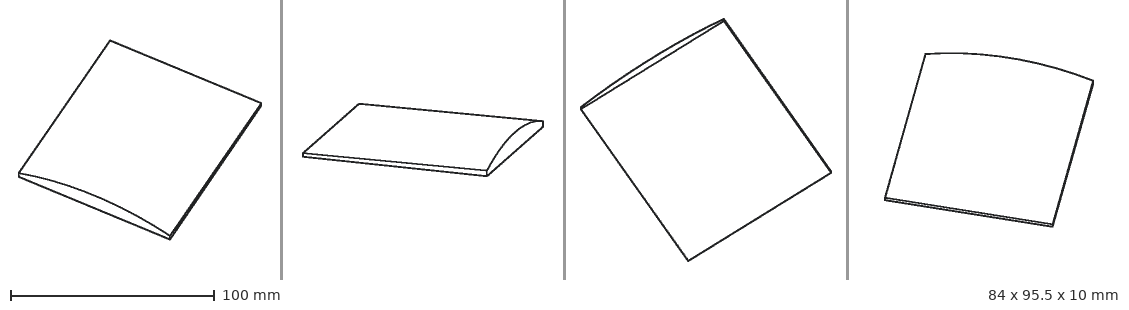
import cadquery as cq

width = 84.0
length = 95.5

front_edge_height = 3.0
front_crown_height = 10.0
back_height = 1.9

half_width = width / 2


def profile_base(y, edge_height):
    """Upright outline at y, drawn around the base up to the top of its +X side."""
    return (
        cq.Workplane("XZ", origin=(0, y, 0))
        .moveTo(-half_width, edge_height)
        .lineTo(-half_width, 0)
        .lineTo(half_width, 0)
        .lineTo(half_width, edge_height)
    )


front_profile = (
    profile_base(-length / 2, front_edge_height)
    .threePointArc((0, front_crown_height), (-half_width, front_edge_height))
    .wire()
    .val()
)

back_profile = profile_base(length / 2, back_height).close().val()

result = cq.Workplane(cq.Solid.makeLoft([front_profile, back_profile], True))